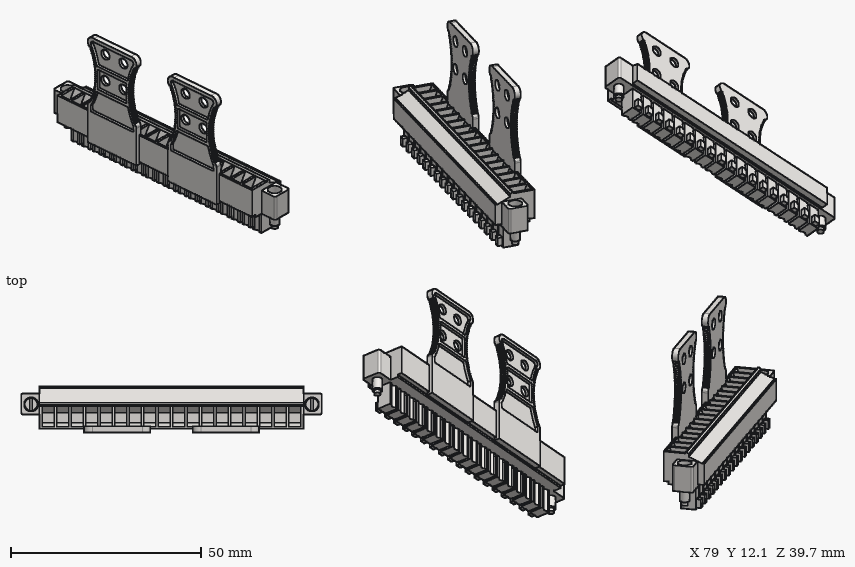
import cadquery as cq
import math


overall_length = 79.0
housing_length = 69.3
housing_depth = 11.1
deck_height = 9.0
crest_height = 9.5
back_height = 6.6
lip_height = 0.7
front_lip_depth = 1.35
back_lip_start = 9.3
back_ledge_start = 10.6
slope_end_y = 6.9
slope_end_height = 8.2
crest_rear_height = 9.0
crest_y = 6.3
crest_front_y = 5.85
crest_bulge = 0.1

contact_count = 18
contact_row_length = 64.7
contact_pitch = contact_row_length / (contact_count - 1)
contact_width = 3.1
wire_pocket_front_y = 0.55
wire_pocket_back_y = 5.85
wire_floor_front_y = 1.6
wire_floor_back_y = 4.2
wire_pocket_depth = 2.8
fin_front_y = 4.5
fin_back_y = 8.5
fin_length = 6.7
fin_groove_width = 1.6
fin_groove_depth = 0.4
latch_width = 1.6
latch_depth = 1.3
latch_top_z = -4.0
latch_bottom_z = -6.4

ear_height = 7.2
ear_front_y = 3.7
ear_round = 0.55
screw_x = 36.9
screw_y = 6.4
head_bore_diameter = 3.7
head_bore_floor_z = 1.2
head_diameter = 3.3
head_top_z = 3.55
head_slot_width = 0.7
head_slot_depth = 0.8
shank_diameter = 2.6
shank_end_z = -3.3
taper_length = 0.2
tip_diameter = 1.7
tip_end_z = -4.5

handle_spacing_in_contacts = 7.5
handle_spacing = handle_spacing_in_contacts * contact_pitch
handle_width = 17.4
handle_top_z = 33.0
handle_front_y = -1.0
handle_back_y = 0.7
shoulder_z = 11.7
shoulder_radius = 0.8
shoulder_angle = math.radians(30)
top_corner_radius = 2.1
waist_z = 21.3
waist_half_width = 6.1
waist_radius = 18.95
grip_half_height = 8.5
tooth_count = 28
tooth_height = 0.3
panel_depth = 0.9
panel_rim = 0.95
panel_half_width = 7.6
panel_corner_radius = 0.3
upper_panel_corner_radius = 0.9
upper_panel_bottom_z = 24.95
upper_panel_top_z = 31.9
middle_panel_bottom_z = 17.85
middle_panel_top_z = 24.0
lower_panel_bottom_z = 9.95
lower_panel_top_z = 16.9
finger_hole_diameter = 2.9
finger_hole_spacing = 6.4
finger_hole_heights = [20.9, 29.0]

contact_places = [(i - (contact_count - 1) / 2) * contact_pitch for i in range(contact_count)]
handle_places = [-handle_spacing / 2, handle_spacing / 2]
screw_places = [-screw_x, screw_x]


def box(x_range, y_range, z_range):
    """A box between two limits along each axis."""
    size = [high - low for low, high in (x_range, y_range, z_range)]
    corner = (x_range[0], y_range[0], z_range[0])
    return cq.Workplane("XY").box(*size, centered=False).translate(corner)


def upright_cylinder(diameter, bottom_z, top_z):
    return cq.Workplane("XY").workplane(offset=bottom_z).circle(diameter / 2).extrude(top_z - bottom_z)


def front_plane(y):
    """A workplane facing -Y at the given depth; its extrusions run toward -Y."""
    return cq.Workplane("XZ", origin=(0, y, 0))


def housing_block():
    """The long block, its cross section extruded along X."""
    crest_front_mid = (
        (crest_y + crest_front_y) / 2 - crest_bulge,
        (crest_height + deck_height) / 2 + crest_bulge,
    )
    return (
        cq.Workplane("YZ")
        .moveTo(0, lip_height)
        .lineTo(front_lip_depth, lip_height)
        .lineTo(front_lip_depth, 0)
        .lineTo(back_lip_start, 0)
        .lineTo(back_lip_start, lip_height)
        .lineTo(housing_depth, lip_height)
        .lineTo(housing_depth, back_height)
        .lineTo(back_ledge_start, back_height)
        .lineTo(slope_end_y, slope_end_height)
        .lineTo(slope_end_y, crest_rear_height)
        .lineTo(crest_y, crest_height)
        .threePointArc(crest_front_mid, (crest_front_y, deck_height))
        .lineTo(0, deck_height)
        .close()
        .extrude(housing_length / 2, both=True)
    )


def ear(side):
    """The ear on the left (-1) or right (+1) end, with its two outer upright edges rounded."""
    inner_x = side * housing_length / 2
    outer_x = side * overall_length / 2
    x_range = (min(inner_x, outer_x), max(inner_x, outer_x))
    block = box(x_range, (ear_front_y, back_lip_start), (0, ear_height))
    return block.faces(">X" if side > 0 else "<X").edges("|Z").fillet(ear_round)


def fin(x):
    """One contact shroud below the housing, with a round groove in front and a latch behind."""
    half = contact_width / 2
    half_groove = fin_groove_width / 2
    body = (
        cq.Workplane("XY")
        .moveTo(x - half, fin_front_y)
        .lineTo(x - half_groove, fin_front_y)
        .threePointArc((x, fin_front_y + fin_groove_depth), (x + half_groove, fin_front_y))
        .lineTo(x + half, fin_front_y)
        .lineTo(x + half, fin_back_y)
        .lineTo(x - half, fin_back_y)
        .close()
        .extrude(-fin_length)
    )
    latch = box(
        (x - latch_width / 2, x + latch_width / 2),
        (fin_back_y, fin_back_y + latch_depth),
        (latch_bottom_z, latch_top_z),
    )
    return body.union(latch)


def wire_pocket(x):
    """The funnel cut into the deck above one contact."""
    floor_z = deck_height - wire_pocket_depth
    return (
        cq.Workplane("YZ", origin=(x, 0, 0))
        .moveTo(wire_pocket_front_y, deck_height)
        .lineTo(wire_floor_front_y, floor_z)
        .lineTo(wire_floor_back_y, floor_z)
        .lineTo(wire_pocket_back_y, deck_height)
        .close()
        .extrude(contact_width / 2, both=True)
    )


def screw_hole(x):
    """A counterbored hole through one ear."""
    bore = upright_cylinder(head_bore_diameter, head_bore_floor_z, ear_height)
    return bore.union(upright_cylinder(shank_diameter, 0, head_bore_floor_z)).translate((x, screw_y, 0))


def handle_slot(x):
    """The slot in the front face that takes the foot of one handle."""
    half = handle_width / 2
    return box((x - half, x + half), (0, handle_back_y), (0, deck_height))


def make_housing():
    body = housing_block().union(ear(-1)).union(ear(1))
    for x in contact_places:
        body = body.union(fin(x))
    for x in contact_places:
        body = body.cut(wire_pocket(x))
    for x in screw_places:
        body = body.cut(screw_hole(x))
    for x in handle_places:
        body = body.cut(handle_slot(x))
    return body


def make_screw(x):
    """A slotted screw with a tapered shank end and a thinner tip."""
    profile = (
        cq.Workplane("XZ")
        .moveTo(0, tip_end_z)
        .lineTo(tip_diameter / 2, tip_end_z)
        .lineTo(tip_diameter / 2, shank_end_z - taper_length)
        .lineTo(shank_diameter / 2, shank_end_z)
        .lineTo(shank_diameter / 2, head_bore_floor_z)
        .lineTo(head_diameter / 2, head_bore_floor_z)
        .lineTo(head_diameter / 2, head_top_z)
        .lineTo(0, head_top_z)
        .close()
    )
    slot = box(
        (-head_slot_width / 2, head_slot_width / 2),
        (-head_diameter, head_diameter),
        (head_top_z - head_slot_depth, head_top_z),
    )
    return profile.revolve(360, (0, 0, 0), (0, 1, 0)).cut(slot).translate((x, screw_y, 0))


def grip_points():
    """Right-hand tooth peaks and valleys from bottom to top, on an arc that narrows to the waist."""
    centre_x = waist_half_width + waist_radius
    end_angle = math.asin(grip_half_height / waist_radius)
    points = []
    for step in range(2 * tooth_count + 1):
        angle = end_angle * (step / tooth_count - 1)
        radius = waist_radius + (step % 2) * tooth_height
        points.append((centre_x - radius * math.cos(angle), waist_z + radius * math.sin(angle)))
    return points


def handle_plate():
    """The toothed plate: its right half and the mirror image of that half."""
    half = handle_width / 2
    teeth = grip_points()
    bevel_start = (
        half - shoulder_radius * (1 - math.cos(shoulder_angle)),
        shoulder_z + shoulder_radius * math.sin(shoulder_angle),
    )
    right_half = (
        front_plane(handle_back_y)
        .lineTo(half, 0)
        .lineTo(half, shoulder_z)
        .tangentArcPoint(bevel_start, relative=False)
        .polyline(teeth, includeCurrent=True)
        .threePointArc((half, handle_top_z - top_corner_radius), (half - top_corner_radius, handle_top_z))
        .lineTo(0, handle_top_z)
        .close()
        .extrude(handle_back_y - handle_front_y)
    )
    return right_half.union(right_half.mirror("YZ")).clean()


def panel_block(half_width, bottom_z, top_z):
    """A rectangular block as deep as the recessed panels, open at the front of the handle."""
    return box(
        (-half_width, half_width),
        (handle_front_y, handle_front_y + panel_depth),
        (bottom_z, top_z),
    )


def waisted_panel(bottom_z, top_z):
    """A panel block whose sides run parallel to the toothed edges."""
    panel = panel_block(panel_half_width, bottom_z, top_z)
    edge_radius = waist_radius + panel_rim
    for side in (-1, 1):
        edge = (
            front_plane(handle_back_y)
            .center(side * (waist_half_width + waist_radius), waist_z)
            .circle(edge_radius)
            .extrude(handle_back_y - handle_front_y)
        )
        panel = panel.cut(edge)
    return panel


def upper_panel():
    panel = waisted_panel(upper_panel_bottom_z, upper_panel_top_z)
    panel = panel.faces(">Z").edges("|Y").fillet(upper_panel_corner_radius)
    return panel.faces("<Z").edges("|Y").fillet(panel_corner_radius)


def middle_panel():
    half_width = waist_half_width - panel_rim
    panel = panel_block(half_width, middle_panel_bottom_z, middle_panel_top_z)
    return panel.edges("|Y").fillet(panel_corner_radius)


def lower_panel():
    panel = waisted_panel(lower_panel_bottom_z, lower_panel_top_z)
    return panel.faces("<Z or >Z").edges("|Y").fillet(panel_corner_radius)


def finger_holes():
    places = [(side * finger_hole_spacing / 2, z) for side in (-1, 1) for z in finger_hole_heights]
    return (
        front_plane(handle_back_y)
        .pushPoints(places)
        .circle(finger_hole_diameter / 2)
        .extrude(handle_back_y - handle_front_y)
    )


def make_handle(x):
    body = handle_plate()
    for cutter in (upper_panel(), middle_panel(), lower_panel(), finger_holes()):
        body = body.cut(cutter)
    return body.translate((x, 0, 0))


housing = make_housing()
screws = [make_screw(x) for x in screw_places]
handles = [make_handle(x) for x in handle_places]

result = cq.Compound.makeCompound(
    [
        housing.solids().val(),
        *[screw.solids().val() for screw in screws],
        *[handle.solids().val() for handle in handles],
    ]
)